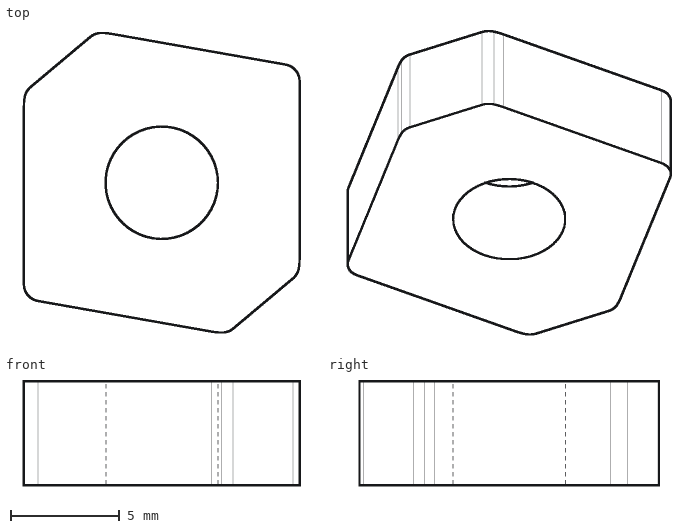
import cadquery as cq
import math

inscribed_diameter = 12.7
cut_distance = 7.255
thickness = 4.79
hole_diameter = 5.16
corner_radius = 0.8
blend_radius = 3.2
blend_angle = 8.3
upper_side_facing = 80.0
left_side_facing = 180.0

side_distance = inscribed_diameter / 2
cut_facing = (upper_side_facing + left_side_facing) / 2
blended_center_depth = blend_radius - (blend_radius - corner_radius) * math.cos(math.radians(blend_angle))


def polar_offset(origin, distance, direction):
    """Point at a distance from an origin along a direction."""
    angle = math.radians(direction)
    return origin[0] + distance * math.cos(angle), origin[1] + distance * math.sin(angle)


def line_crossing(distance_1, facing_1, distance_2, facing_2):
    """Point where two lines meet, each given by its distance from the axis and its facing."""
    a1 = math.radians(facing_1)
    a2 = math.radians(facing_2)
    spread = math.sin(a2 - a1)
    x = (distance_1 * math.sin(a2) - distance_2 * math.sin(a1)) / spread
    y = (distance_2 * math.cos(a1) - distance_1 * math.cos(a2)) / spread
    return x, y


def cut_corner_arcs(side_facing):
    """Small and gentle arcs, counterclockwise, between a corner cut and the long side beside it."""
    center = line_crossing(
        side_distance - blended_center_depth, side_facing,
        cut_distance - corner_radius, cut_facing,
    )
    if side_facing < cut_facing:
        joint = side_facing + blend_angle
    else:
        joint = side_facing - blend_angle
    gentle_center = polar_offset(center, corner_radius - blend_radius, joint)
    if side_facing < cut_facing:
        return [
            (gentle_center, blend_radius, side_facing, joint),
            (center, corner_radius, joint, cut_facing),
        ]
    return [
        (center, corner_radius, cut_facing, joint),
        (gentle_center, blend_radius, joint, side_facing),
    ]


def obtuse_corner_arc():
    """Plain rounded corner between the left side and the lower side."""
    lower_side_facing = upper_side_facing + 180.0
    center_distance = side_distance - corner_radius
    center = line_crossing(center_distance, left_side_facing, center_distance, lower_side_facing)
    return center, corner_radius, left_side_facing, lower_side_facing


def outline_arcs():
    """All rounded stretches, counterclockwise; the second half is the first turned half a turn."""
    half = cut_corner_arcs(upper_side_facing) + cut_corner_arcs(left_side_facing) + [obtuse_corner_arc()]
    turned = [((-c[0], -c[1]), radius, start + 180.0, end + 180.0) for c, radius, start, end in half]
    return half + turned


def insert_profile():
    """Closed outline: arcs joined by straight sides wherever neighbouring arcs do not touch."""
    touching = 1e-6
    arcs = outline_arcs()
    first_center, first_radius, first_direction, _ = arcs[0]
    pen = polar_offset(first_center, first_radius, first_direction)
    profile = cq.Workplane("XY").moveTo(*pen)
    for center, radius, start_direction, end_direction in arcs:
        start = polar_offset(center, radius, start_direction)
        middle = polar_offset(center, radius, (start_direction + end_direction) / 2)
        end = polar_offset(center, radius, end_direction)
        if math.dist(pen, start) > touching:
            profile = profile.lineTo(*start)
        profile = profile.threePointArc(middle, end)
        pen = end
    return profile.close()


body = insert_profile().extrude(thickness)
bore = cq.Workplane("XY").circle(hole_diameter / 2).extrude(thickness)
result = body.cut(bore)